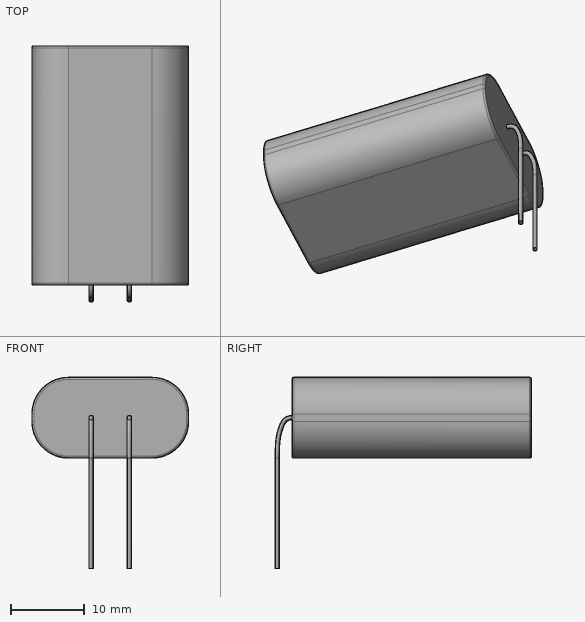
import cadquery as cq

overall_length = 34.8
overall_height = 26.0

housing_width = 21.3
housing_height = 11.0
housing_length = 32.5
long_edge_radius = 5.0
end_edge_radius = 0.28

wire_diameter = 0.6
wire_spacing = 5.2
wire_reach = overall_length - housing_length - wire_diameter / 2
bend_drop = housing_height / 2
wire_bottom = housing_height / 2 - overall_height
shoulder_reach = 1.45
shoulder_drop = 1.25


def make_housing():
    """Rounded block running in +Y from its front face at Y = 0, centred on X and Z."""
    block = cq.Workplane("XY").box(
        housing_width, housing_length, housing_height, centered=(True, False, True)
    )
    rounded = block.edges("|Y").fillet(long_edge_radius)
    return rounded.faces("<Y or >Y").edges().fillet(end_edge_radius)


def make_wire(x):
    """Lead that leaves the front face, bends downward and hangs straight."""
    path = (
        cq.Workplane("YZ", origin=(x, 0, 0))
        .spline(
            [(0, 0), (-shoulder_reach, -shoulder_drop), (-wire_reach, -bend_drop)],
            tangents=[(-1, 0), (0, -1)],
        )
        .lineTo(-wire_reach, wire_bottom)
    )
    section = cq.Workplane("XZ", origin=(x, 0, 0)).circle(wire_diameter / 2)
    return section.sweep(path)


housing = make_housing()
wires = [make_wire(side * wire_spacing / 2) for side in (-1, 1)]

result = cq.Compound.makeCompound([housing.val(), *[wire.val() for wire in wires]])